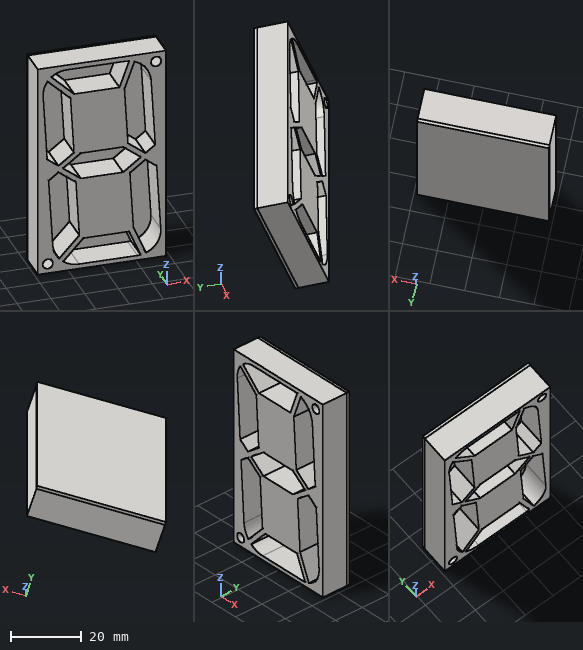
import cadquery as cq
import math

width = 38.0
depth = 10.0
height = 65.0
plate_thickness = 1.0
housing_depth = depth - plate_thickness

digit_half_width = 16.0
digit_half_height = 31.0
segment_width = 8.0
slant = 0.06
corner_setback = 7.35
lean_angle = math.atan(slant)
acute_corner_radius = corner_setback * math.tan(math.pi / 4 - lean_angle / 2)
obtuse_corner_radius = corner_setback * math.tan(math.pi / 4 + lean_angle / 2)
window_half_width = digit_half_width - segment_width
window_top = digit_half_height - segment_width
window_bottom = segment_width / 2

wall_thickness = 1.6
crossing_x = 12.9
crossing_slope = 0.76
crossing_reach = 7.15
corner_walls = [
    ((-8.8, 22.4), (-15.55, 28.8)),
    ((6.0, 22.8), (8.85, 30.7)),
    ((-6.2, -22.55), (-11.95, -28.8)),
    ((8.7, -22.55), (12.2, -30.6)),
]
corner_wall_overrun = 2.6

hole_diameter = 3.0
hole_inset = 3.0


def front_plane():
    """Sketch plane on the front face (Y = 0): local X is X, local Y is Z, and -Y is outwards."""
    return cq.Workplane("XZ")


def slanted_block(half_width, bottom, top):
    """Parallelogram with level top and bottom and slanted sides, through the housing depth."""
    corners = [
        (-half_width - slant * bottom, bottom),
        (half_width - slant * bottom, bottom),
        (half_width - slant * top, top),
        (-half_width - slant * top, top),
    ]
    return front_plane().polyline(corners).close().extrude(-housing_depth)


def wall(start, end, overrun=0.0):
    """Straight wall along the centre line from start to end, through the housing depth."""
    run = end[0] - start[0]
    rise = end[1] - start[1]
    length = math.hypot(run, rise) + 2 * overrun
    return (
        front_plane()
        .center((start[0] + end[0]) / 2, (start[1] + end[1]) / 2)
        .transformed(rotate=(0, 0, math.degrees(math.atan2(rise, run))))
        .rect(length, wall_thickness)
        .extrude(-housing_depth)
    )


def crossing_walls(side):
    """Two walls crossing at mid-height on one side (-1 or 1), solid between their outer arms."""
    crossing_rise = crossing_slope * crossing_reach
    crossing = side * crossing_x
    outer_x = crossing + side * crossing_reach
    inner_x = crossing - side * crossing_reach
    outer_wedge = [(crossing, 0), (outer_x, crossing_rise), (outer_x, -crossing_rise)]
    return (
        front_plane().polyline(outer_wedge).close().extrude(-housing_depth)
        .union(wall((inner_x, -crossing_rise), (outer_x, crossing_rise)))
        .union(wall((inner_x, crossing_rise), (outer_x, -crossing_rise)))
    )


def make_segment_pockets():
    """The seven openings: a rounded digit outline less its two windows and the walls."""
    pockets = slanted_block(digit_half_width, -digit_half_height, digit_half_height)
    upper_right_and_lower_left = ">(1, 0, 1) or <(1, 0, 1)"
    upper_left_and_lower_right = ">(1, 0, -1) or <(1, 0, -1)"
    pockets = pockets.edges("|Y").edges(upper_right_and_lower_left).fillet(obtuse_corner_radius)
    pockets = pockets.edges("|Y").edges(upper_left_and_lower_right).fillet(acute_corner_radius)

    pockets = pockets.cut(slanted_block(window_half_width, window_bottom, window_top))
    pockets = pockets.cut(slanted_block(window_half_width, -window_top, -window_bottom))

    for inner, outer in corner_walls:
        pockets = pockets.cut(wall(inner, outer, corner_wall_overrun))

    for side in (-1, 1):
        pockets = pockets.cut(crossing_walls(side))
    return pockets


def make_housing():
    """Front block with the segment openings and the corner holes running through it."""
    block = front_plane().rect(width, height).extrude(-housing_depth)
    hole_x = width / 2 - hole_inset
    hole_z = height / 2 - hole_inset
    holes = (
        front_plane()
        .pushPoints([(hole_x, hole_z), (-hole_x, -hole_z)])
        .circle(hole_diameter / 2)
        .extrude(-housing_depth)
    )
    return block.cut(make_segment_pockets()).cut(holes).solids()


def make_back_plate():
    """Plain plate that closes the back of the housing."""
    return front_plane().workplane(offset=-housing_depth).rect(width, height).extrude(-plate_thickness)


housing = make_housing()
back_plate = make_back_plate()

result = cq.Compound.makeCompound([housing.val(), back_plate.val()])